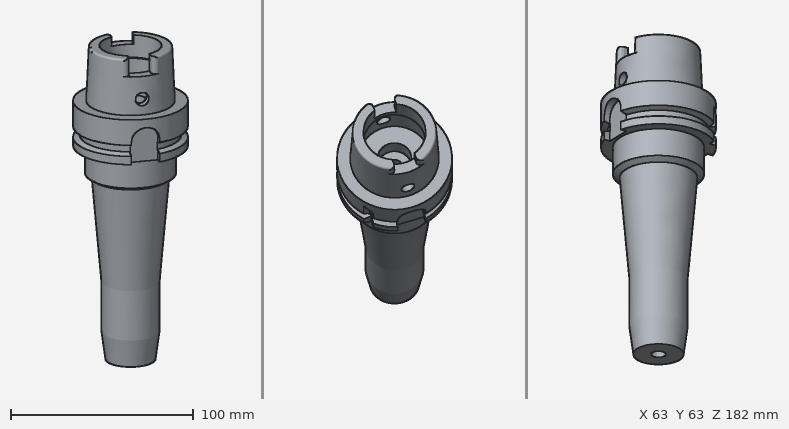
import cadquery as cq

shank_length = 32.0
flange_height = 26.0
collar_bottom_z = -42.0
neck_top_z = -44.3
nose_top_z = -105.0
tip_top_z = -133.7
tip_bottom_z = -150.0

shank_top_radius = 22.9
shank_base_radius = 24.3
flange_radius = 31.5
collar_radius = 25.0
neck_top_radius = 21.3
nose_radius = 16.0
tip_radius = 13.8
shank_rim_fillet = 1.3

groove_radius = 27.85
groove_center_z = -18.0
groove_mouth_width = 6.4
groove_floor_width = 3.75

bore_radius = 17.0
bore_rim_depth = 13.0
undercut_radius = 19.5
undercut_rise = 1.5
bore_floor_z = 0.0
counterbore_radius = 9.2
counterbore_depth = 10.0
coolant_radius = 4.1

drive_slot_width = 12.5
drive_slot_corner_fillet = 2.5
deep_slot_depth = 10.0
shallow_slot_depth = 5.5

selection_margin = 0.5

cross_hole_diameter = 7.5
cross_hole_z = 9.0

slot_top_z = -5.0
keyway_width = 16.0
keyway_floor_x = 26.8
notch_width = 14.0
notch_floor_x = 20.15
notch_side_y = 20.0


def axial_plane():
    """Workplane for turned outlines: local x is the radius toward -Y, local y is Z."""
    return cq.Workplane(cq.Plane(origin=(0, 0, 0), xDir=(0, -1, 0), normal=(-1, 0, 0)))


def turned_body():
    mouth_half = groove_mouth_width / 2
    floor_half = groove_floor_width / 2
    outline = [
        (0, shank_length),
        (shank_top_radius, shank_length),
        (shank_base_radius, 0),
        (flange_radius, 0),
        (flange_radius, groove_center_z + mouth_half),
        (groove_radius, groove_center_z + floor_half),
        (groove_radius, groove_center_z - floor_half),
        (flange_radius, groove_center_z - mouth_half),
        (flange_radius, -flange_height),
        (collar_radius, -flange_height),
        (collar_radius, collar_bottom_z),
        (neck_top_radius, neck_top_z),
        (nose_radius, nose_top_z),
        (nose_radius, tip_top_z),
        (tip_radius, tip_bottom_z),
        (0, tip_bottom_z),
    ]
    return axial_plane().polyline(outline).close().revolve(360, (0, 0), (0, 1))


def axial_bore():
    rim_bottom_z = shank_length - bore_rim_depth
    counterbore_z = bore_floor_z - counterbore_depth
    outline = [
        (0, shank_length),
        (bore_radius, shank_length),
        (bore_radius, rim_bottom_z),
        (undercut_radius, rim_bottom_z - undercut_rise),
        (undercut_radius, bore_floor_z),
        (counterbore_radius, bore_floor_z),
        (counterbore_radius, counterbore_z),
        (coolant_radius, counterbore_z),
        (coolant_radius, tip_bottom_z),
        (0, tip_bottom_z),
    ]
    return axial_plane().polyline(outline).close().revolve(360, (0, 0), (0, 1))


def drive_slot(side, depth):
    """Slot through the shank wall on the +X (side = 1) or -X (side = -1) side."""
    return (
        cq.Workplane("XY", origin=(side * flange_radius / 2, 0, shank_length - depth))
        .box(flange_radius, drive_slot_width, depth, centered=(True, True, False))
    )


def round_drive_slot_corners(body, side, depth):
    """Fillet the upright edges where the walls of one drive slot meet the outside of the shank."""
    wall_middle_x = (bore_radius + shank_top_radius) / 2
    half_width = drive_slot_width / 2
    for wall in (-1, 1):
        inner_corner = (
            side * wall_middle_x,
            wall * (half_width - selection_margin),
            shank_length - depth + selection_margin,
        )
        outer_corner = (
            side * flange_radius,
            wall * (half_width + selection_margin),
            shank_length - selection_margin,
        )
        corner_edge = cq.selectors.BoxSelector(inner_corner, outer_corner)
        body = body.edges(corner_edge).fillet(drive_slot_corner_fillet)
    return body


def flange_slot(side, floor_x, center_y, width):
    """Slot milled along X into the flange, open at the bottom and rounded at the top."""
    radius = width / 2
    arc_z = slot_top_z - radius
    length = flange_radius - floor_x
    return (
        cq.Workplane("YZ", origin=(side * floor_x, 0, 0))
        .moveTo(center_y - radius, -flange_height)
        .lineTo(center_y - radius, arc_z)
        .threePointArc((center_y, slot_top_z), (center_y + radius, arc_z))
        .lineTo(center_y + radius, -flange_height)
        .close()
        .extrude(side * length)
    )


def cross_hole():
    return (
        cq.Workplane("YZ", origin=(0, 0, cross_hole_z))
        .circle(cross_hole_diameter / 2)
        .extrude(shank_base_radius, both=True)
    )


blank = turned_body()
rim_rounded_blank = blank.faces(">Z").edges().fillet(shank_rim_fillet)

result = blank.cut(axial_bore())
for slot_side, slot_depth in ((-1, shallow_slot_depth), (1, deep_slot_depth)):
    result = result.cut(drive_slot(slot_side, slot_depth))
    result = round_drive_slot_corners(result, slot_side, slot_depth)

result = result.intersect(rim_rounded_blank)
result = result.cut(cross_hole())

for keyway_side in (-1, 1):
    result = result.cut(flange_slot(keyway_side, keyway_floor_x, 0, keyway_width))

notch_center_y = notch_side_y + notch_width / 2
result = result.cut(flange_slot(-1, notch_floor_x, notch_center_y, notch_width))